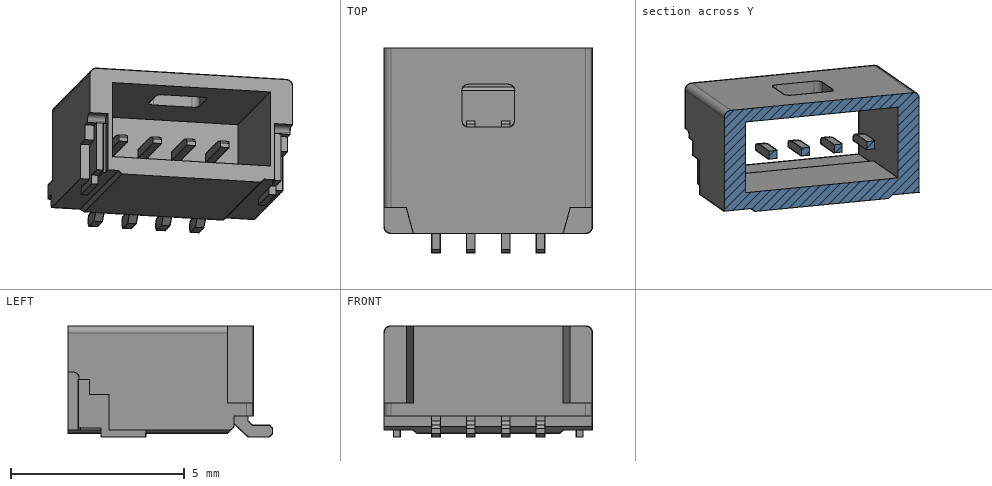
import cadquery as cq


width = 6.0
half_width = width / 2
height = 3.2
housing_depth = 5.34
body_bottom = 0.2
edge_radius = 0.2

plinth_bottom = 0.1
plinth_half_width = 2.05
plinth_flare = 0.11
lower_body_depth = 4.79
overhang_bottom = 0.6
front_slope = 0.2
front_slope_top = plinth_bottom + front_slope

relief_depth = 4.595
relief_floor = 0.985
relief_inner_width = 0.64
relief_outer_width = 0.845

cavity_half_width = 2.335
cavity_depth = 3.96
roof_thickness = 0.4
cavity_top = height - roof_thickness
mouth_floor = 0.6
floor_step = 0.1
floor_step_depth = 1.12
cavity_floor = mouth_floor + floor_step

window_width = 1.51
window_near_depth = 1.045
window_far_depth = 2.275
window_radius = 0.18

tab_thickness = 0.2
tab_outer_x = 2.73
tab_inner_x = tab_outer_x - tab_thickness
slot_mouth_top = 1.865
slot_mouth_radius = 0.16
slot_mouth_depth = 0.325
slot_mouth_inner_x = 2.465
lead_in_start_depth = 0.29
lead_in_end_depth = 0.365
tab_near_depth = 0.305
tab_step_depth = 0.625
tab_far_depth = 1.19
tab_top = 1.655
tab_shoulder = 1.22
tab_bottom = 0.265
foot_near_depth = 0.955
foot_far_depth = 2.245

contact_count = 4
contact_pitch = 1.0
contact_width = 0.25
tail_end_depth = 5.9
tail_top = 0.34
tail_tip_chamfer = 0.095
tail_knee_depth = 5.31
tail_bend_depth = 5.19
tail_bend_bottom_z = 0.38
tail_bend_top_z = tail_top + tail_knee_depth - tail_bend_depth
beam_tip_depth = 2.105
beam_bottom = 1.62
beam_top = 1.87
beam_tip_chamfer = 0.08
beam_ramp_rise = 0.05
beam_ramp_depth = 2.46


def plate(points, x_min, x_max):
    """Extrude a (depth, z) polygon along X from x_min to x_max."""
    outline = [(-depth, z) for depth, z in points]
    return cq.Workplane("YZ").workplane(offset=x_min).polyline(outline).close().extrude(x_max - x_min)


def both_sides(solid):
    """Join a solid on the +X side with its mirror image."""
    return solid.union(solid.mirror("YZ"))


def housing_block():
    profile = [
        (0, plinth_bottom),
        (lower_body_depth - front_slope, plinth_bottom),
        (lower_body_depth, front_slope_top),
        (lower_body_depth, overhang_bottom),
        (housing_depth, overhang_bottom),
        (housing_depth, height),
        (0, height),
    ]
    block = plate(profile, -half_width, half_width)
    block = block.edges("|Y and >Z").fillet(edge_radius)

    beside_plinth = (
        cq.Workplane("XZ")
        .polyline([
            (plinth_half_width, plinth_bottom),
            (plinth_half_width + plinth_flare, body_bottom),
            (half_width, body_bottom),
            (half_width, plinth_bottom),
        ])
        .close()
        .extrude(housing_depth)
    )
    return block.cut(both_sides(beside_plinth))


def corner_reliefs():
    relief = (
        cq.Workplane("XY", origin=(0, 0, relief_floor))
        .polyline([
            (half_width, -relief_depth),
            (half_width - relief_inner_width, -relief_depth),
            (half_width - relief_outer_width, -housing_depth),
            (half_width, -housing_depth),
        ])
        .close()
        .extrude(height - relief_floor)
    )
    return both_sides(relief)


def mating_cavity():
    profile = [
        (0, mouth_floor),
        (floor_step_depth, mouth_floor),
        (floor_step_depth + floor_step, cavity_floor),
        (cavity_depth, cavity_floor),
        (cavity_depth, cavity_top),
        (0, cavity_top),
    ]
    return plate(profile, -cavity_half_width, cavity_half_width)


def roof_window():
    center_y = -(window_near_depth + window_far_depth) / 2
    return (
        cq.Workplane("XY", origin=(0, center_y, cavity_top))
        .rect(window_width, window_far_depth - window_near_depth)
        .extrude(roof_thickness)
        .edges("|Z")
        .fillet(window_radius)
    )


def tab_slots():
    mouth_opening = plate(
        [
            (0, tab_top),
            (slot_mouth_depth, tab_top),
            (slot_mouth_depth, slot_mouth_top),
            (0, slot_mouth_top),
        ],
        slot_mouth_inner_x,
        half_width,
    )
    mouth_opening = mouth_opening.edges("|X and >Z and <Y").fillet(slot_mouth_radius)
    lead_in = (
        cq.Workplane("XY", origin=(0, 0, body_bottom))
        .polyline([
            (slot_mouth_inner_x, 0),
            (slot_mouth_inner_x, -lead_in_start_depth),
            (tab_inner_x, -lead_in_end_depth),
            (tab_inner_x, 0),
        ])
        .close()
        .extrude(tab_top - body_bottom)
    )
    stepped_opening = plate(
        [
            (0, body_bottom),
            (0, tab_top),
            (tab_step_depth, tab_top),
            (tab_step_depth, tab_shoulder),
            (tab_far_depth, tab_shoulder),
            (tab_far_depth, body_bottom),
        ],
        tab_inner_x,
        half_width,
    )
    return both_sides(mouth_opening.union(lead_in).union(stepped_opening))


def solder_tabs():
    profile = [
        (tab_near_depth, tab_bottom),
        (tab_near_depth, tab_top),
        (tab_step_depth, tab_top),
        (tab_step_depth, tab_shoulder),
        (tab_far_depth, tab_shoulder),
        (tab_far_depth, body_bottom),
        (foot_far_depth, body_bottom),
        (foot_far_depth, 0),
        (foot_near_depth, 0),
        (foot_near_depth, tab_bottom),
    ]
    return both_sides(plate(profile, tab_inner_x, tab_outer_x))


def contact(x):
    tail = [
        (lower_body_depth, overhang_bottom),
        (lower_body_depth, tail_bend_bottom_z),
        (tail_bend_depth, 0),
        (tail_end_depth - tail_tip_chamfer, 0),
        (tail_end_depth, tail_tip_chamfer),
        (tail_end_depth, tail_top - tail_tip_chamfer),
        (tail_end_depth - tail_tip_chamfer, tail_top),
        (tail_knee_depth, tail_top),
        (tail_bend_depth, tail_bend_top_z),
        (tail_bend_depth, overhang_bottom),
    ]
    ramp_start_z = beam_top - beam_ramp_rise
    beam = [
        (cavity_depth, beam_bottom),
        (beam_tip_depth, beam_bottom),
        (beam_tip_depth, ramp_start_z - beam_tip_chamfer),
        (beam_tip_depth + beam_tip_chamfer, ramp_start_z),
        (beam_ramp_depth, beam_top),
        (cavity_depth, beam_top),
    ]
    x_min = x - contact_width / 2
    x_max = x + contact_width / 2
    return plate(tail, x_min, x_max).union(plate(beam, x_min, x_max))


housing = housing_block().cut(corner_reliefs())
housing = housing.edges("|Z and <Y and (<X or >X)").fillet(edge_radius)
housing = housing.cut(mating_cavity()).cut(roof_window()).cut(tab_slots())

result = housing.union(solder_tabs())
for index in range(contact_count):
    contact_x = (index - (contact_count - 1) / 2) * contact_pitch
    result = result.union(contact(contact_x))